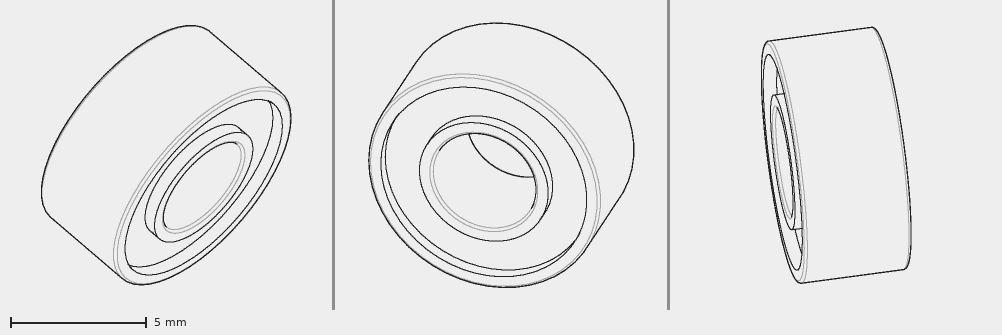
import cadquery as cq

outer_diameter = 9.0
bore_diameter = 4.0
width = 4.0
inner_ring_diameter = 5.0
outer_ring_diameter = 8.0
recess_depth = 0.5
edge_radius = 0.1


def tube(outside, inside, length):
    """Hollow cylinder along X, centred on the origin."""
    return (
        cq.Workplane("YZ", origin=(-length / 2, 0, 0))
        .circle(outside / 2)
        .circle(inside / 2)
        .extrude(length)
    )


def rounded_ring(outside, inside, rounded_diameter):
    """Full-width ring with both rims at one diameter rounded."""
    ring = tube(outside, inside, width)
    rim_edges = cq.selectors.RadiusNthSelector(0 if rounded_diameter == inside else -1)
    return ring.edges("%CIRCLE").edges(rim_edges).fillet(edge_radius)


outer_ring = rounded_ring(outer_diameter, outer_ring_diameter, outer_diameter)
inner_ring = rounded_ring(inner_ring_diameter, bore_diameter, bore_diameter)

seal_width = width - 2 * recess_depth
seal = tube(outer_ring_diameter, inner_ring_diameter, seal_width)

result = outer_ring.union(seal).union(inner_ring)